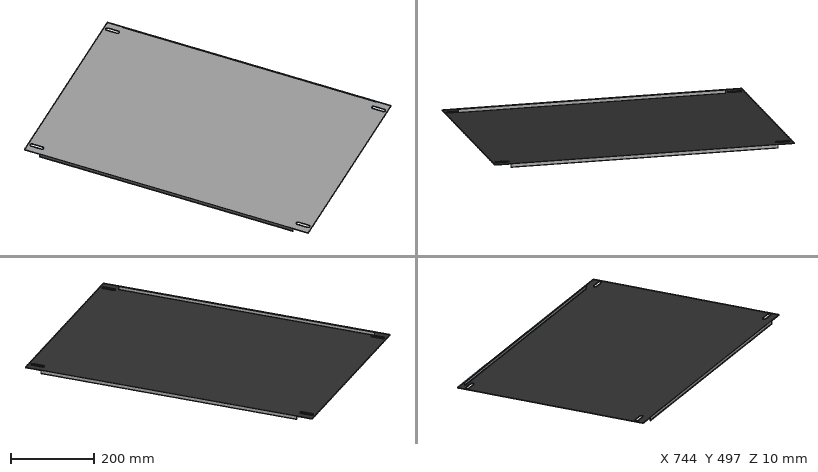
import cadquery as cq

length = 744.0
width = 497.0
height = 10.0
sheet_thickness = 1.5

flange_end_inset = 40.0
flange_length = length - 2 * flange_end_inset

slot_length = 35.0
slot_width = 8.0
slot_inset_x = 23.0
slot_inset_y = 22.0


def make_sheet():
    """Flat panel with its top face at Z = height."""
    sheet = cq.Workplane("XY").box(length, width, sheet_thickness, centered=(True, True, False))
    return sheet.translate((0, 0, height - sheet_thickness))


def make_flange(side):
    """Downward flange, flush with the long edge on the given Y side (-1 or 1)."""
    flange = cq.Workplane("XY").box(flange_length, sheet_thickness, height, centered=(True, True, False))
    return flange.translate((0, side * (width - sheet_thickness) / 2, 0))


def make_slots():
    """Cutters for the four corner slots, running through the sheet."""
    return (
        cq.Workplane("XY")
        .rect(length - 2 * slot_inset_x, width - 2 * slot_inset_y, forConstruction=True)
        .vertices()
        .slot2D(slot_length, slot_width)
        .extrude(height)
    )


result = make_sheet()
for side in (-1, 1):
    result = result.union(make_flange(side))
result = result.cut(make_slots())